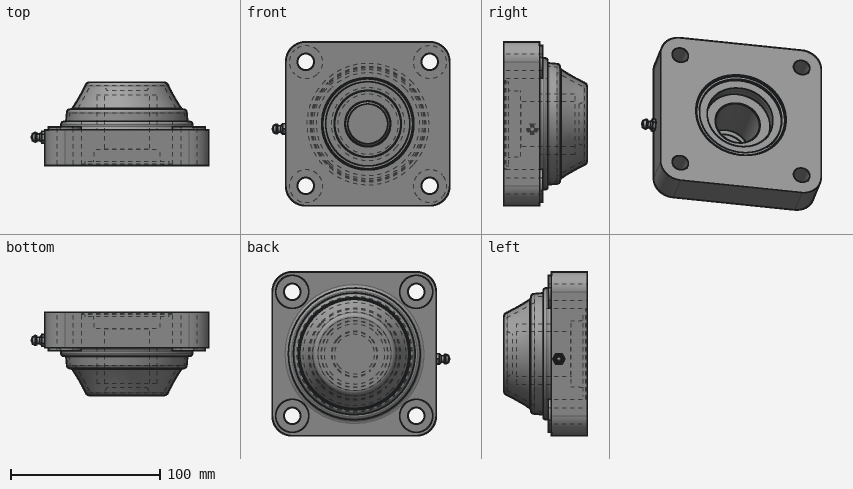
import cadquery as cq
import math


overall_width = 119

flange_side = 110.0
flange_thickness = 24.0
bolt_spacing = 83.1
bolt_hole_diameter = 11.0
corner_radius = (flange_side - bolt_spacing) / 2
bolt_pad_diameter = 22.1
bolt_pad_height = 2.0

collar_radius = 44.1
collar_end_y = 29.6
collar_edge_radius = 2.0
collar_root_radius = 2.4

seat_radius = 30.5
seat_chamfer = 0.5
outer_ring_front_y = 1.1
outer_ring_chamfer = 0.4
outer_ring_back_y = flange_thickness
seal_radius = 28.2
seal_front_y = 3.0
seal_opening_radius = 22.5
seal_lip_end_y = 3.7
seal_taper_end_y = 6.0
seal_inner_radius = 22.1
inner_ring_front_y = 11.0
inner_ring_back_y = 47.6
bore_radius = 15.0
bore_chamfer = 0.4
inner_ring_radius = 20.2

total_depth = 56.0
cap_wall = 2.0
cap_base_radius = 40.8
cap_base_height = 0.6
cap_rim_radius = 40.3
cap_rim_y = 35.6
cap_step_radius = 37.6
cap_step_y = 37.8
cap_step_edge_radius = 2.4
cone_base_radius = 36.5
cone_base_y = 38.4
cone_middle_radius = 31.9
cone_middle_y = 45.9
cone_top_radius = 27.8
cone_top_y = 53.7
crown_radius = 24.5
crown_edge_radius = 3.6
stop_tip_radius = 13.3
stop_root_radius = 15.5
stop_length = 3.6

nipple_y = 19.0
nipple_z = -3.5
nipple_length = overall_width - flange_side
hex_across_flats = 7.0
hex_height = 2.0
shoulder_radius = 3.2
neck_radius = 2.3
neck_start = 3.2
neck_end = 5.2
head_back_radius = 2.7
head_radius = 3.3
head_widest = 6.2
head_front_radius = 2.3
head_front = 8.3
ball_radius = 1.5


def revolve_about_y(profile):
    """Turn a closed profile of (radius, y) points about the bearing axis."""
    return profile.close().revolve(360, (0, 0, 0), (0, 1, 0))


def cylinders_at_bolts(diameter, end_y):
    """Four cylinders on the bolt pattern, running from the mounting face to end_y."""
    return (
        cq.Workplane("XZ")
        .rect(bolt_spacing, bolt_spacing, forConstruction=True)
        .vertices()
        .circle(diameter / 2)
        .extrude(-end_y)
    )


def build_collar():
    """Collar with a rounded outer edge and a concave flare where it meets the flange."""
    profile = (
        cq.Workplane("XY")
        .moveTo(0, flange_thickness)
        .lineTo(collar_radius + collar_root_radius, flange_thickness)
        .radiusArc((collar_radius, flange_thickness + collar_root_radius), collar_root_radius)
        .lineTo(collar_radius, collar_end_y - collar_edge_radius)
        .radiusArc((collar_radius - collar_edge_radius, collar_end_y), -collar_edge_radius)
        .lineTo(0, collar_end_y)
    )
    return revolve_about_y(profile)


def build_seat():
    """Through opening for the bearing, chamfered at the mounting face."""
    profile = (
        cq.Workplane("XY")
        .lineTo(seat_radius + seat_chamfer, 0)
        .lineTo(seat_radius, seat_chamfer)
        .lineTo(seat_radius, collar_end_y)
        .lineTo(0, collar_end_y)
    )
    return revolve_about_y(profile)


def build_housing():
    """Square flange with bolt pads, round collar and bearing seat."""
    flange = (
        cq.Workplane("XZ")
        .rect(flange_side, flange_side)
        .extrude(-flange_thickness)
        .edges("|Y")
        .fillet(corner_radius)
    )
    pad_end_y = flange_thickness + bolt_pad_height
    pads = cylinders_at_bolts(bolt_pad_diameter, pad_end_y)
    bolt_holes = cylinders_at_bolts(bolt_hole_diameter, pad_end_y)
    return flange.union(pads).union(build_collar()).cut(bolt_holes).cut(build_seat())


def build_bearing():
    """Bearing insert: outer ring, recessed seal and an inner ring that runs back into the cap."""
    profile = (
        cq.Workplane("XY")
        .moveTo(bore_radius + bore_chamfer, inner_ring_front_y)
        .lineTo(seal_inner_radius, inner_ring_front_y)
        .lineTo(seal_inner_radius, seal_taper_end_y)
        .lineTo(seal_opening_radius, seal_lip_end_y)
        .lineTo(seal_opening_radius, seal_front_y)
        .lineTo(seal_radius, seal_front_y)
        .lineTo(seal_radius, outer_ring_front_y)
        .lineTo(seat_radius - outer_ring_chamfer, outer_ring_front_y)
        .lineTo(seat_radius, outer_ring_front_y + outer_ring_chamfer)
        .lineTo(seat_radius, outer_ring_back_y)
        .lineTo(inner_ring_radius, outer_ring_back_y)
        .lineTo(inner_ring_radius, inner_ring_back_y)
        .lineTo(bore_radius, inner_ring_back_y)
        .lineTo(bore_radius, inner_ring_front_y + bore_chamfer)
    )
    return revolve_about_y(profile)


def build_cap():
    """Hollow stepped cap with a waisted cone and a tapered stop inside its crown."""
    base_top_y = collar_end_y + cap_base_height
    outside = revolve_about_y(
        cq.Workplane("XY")
        .moveTo(0, collar_end_y)
        .lineTo(cap_base_radius, collar_end_y)
        .lineTo(cap_base_radius, base_top_y)
        .lineTo(cap_rim_radius, cap_rim_y)
        .radiusArc((cap_step_radius, cap_step_y), -cap_step_edge_radius)
        .lineTo(cone_base_radius, cone_base_y)
        .threePointArc((cone_middle_radius, cone_middle_y), (cone_top_radius, cone_top_y))
        .radiusArc((crown_radius, total_depth), -crown_edge_radius)
        .lineTo(0, total_depth)
    )
    ceiling_y = total_depth - cap_wall
    inside = revolve_about_y(
        cq.Workplane("XY")
        .moveTo(0, collar_end_y)
        .lineTo(cap_base_radius - cap_wall, collar_end_y)
        .lineTo(cap_rim_radius - cap_wall, cap_rim_y)
        .lineTo(cone_base_radius - cap_wall, cap_rim_y)
        .threePointArc((cone_middle_radius - cap_wall, cone_middle_y - cap_wall), (crown_radius, ceiling_y))
        .lineTo(0, ceiling_y)
    )
    stop = revolve_about_y(
        cq.Workplane("XY")
        .moveTo(0, ceiling_y - stop_length)
        .lineTo(stop_tip_radius, ceiling_y - stop_length)
        .lineTo(stop_root_radius, ceiling_y)
        .lineTo(0, ceiling_y)
    )
    return outside.cut(inside).union(stop)


def build_nipple():
    """Hexagon foot and turned head, built along Z and then laid along -X."""
    hexagon = (
        cq.Workplane("XY")
        .polygon(6, hex_across_flats / math.cos(math.pi / 6))
        .extrude(hex_height)
        .rotate((0, 0, 0), (0, 0, 1), 90)
    )
    head = (
        cq.Workplane("XZ")
        .moveTo(0, hex_height)
        .lineTo(shoulder_radius, hex_height)
        .lineTo(neck_radius, neck_start)
        .lineTo(neck_radius, neck_end)
        .lineTo(head_back_radius, neck_end)
        .lineTo(head_radius, head_widest)
        .lineTo(head_front_radius, head_front)
        .lineTo(ball_radius, head_front)
        .lineTo(0, nipple_length)
        .close()
        .revolve(360, (0, 0, 0), (0, 1, 0))
    )
    upright = hexagon.union(head)
    laid_down = upright.rotate((0, 0, 0), (0, 1, 0), -90)
    return laid_down.translate((-flange_side / 2, nipple_y, nipple_z))


housing = build_housing()
bearing = build_bearing()
cap = build_cap()
nipple = build_nipple()

result = cq.Compound.makeCompound([housing.val(), bearing.val(), cap.val(), nipple.val()])